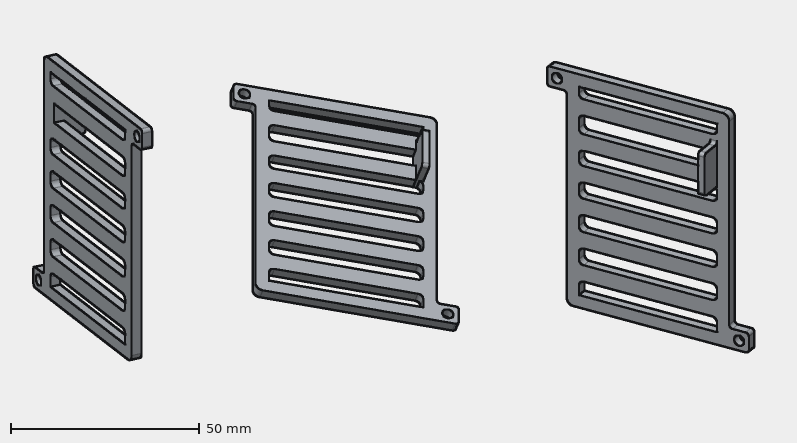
import cadquery as cq

height = 70.0
width = 62.0
thickness = 3.0
ear_size = 6.0
body_corner_radius = 2.0
ear_corner_radius = 1.0
lower_hole_diameter = 3.0
upper_hole_diameter = 3.1

rim_side = 3.8
rim_end = 3.8
bar_height = 5.0
slot_heights = [4.35, 5.0, 5.05, 4.8, 4.55, 5.5]
slot_corner_radius = 1.5

tab_thickness = 2.0
tab_reach = 6.5
tab_height = 12.8
tab_top = height - 9.9
tab_corner_radius = 1.0

body_left = ear_size
body_right = width - ear_size
slot_left = body_left + rim_side
slot_right = body_right - rim_side


def block(x_range, y_range, z_range):
    """Box spanning the given (low, high) ranges."""
    lows, highs = zip(x_range, y_range, z_range)
    sizes = [high - low for low, high in zip(lows, highs)]
    return cq.Workplane("XY").box(*sizes, centered=False).translate(lows)


def edges_at(x, z):
    """Selector for the plate's through-thickness edge at (x, z)."""
    near = 0.01
    return cq.selectors.BoxSelector((x - near, -near, z - near), (x + near, thickness + near, z + near))


def make_plate():
    depth = (0, thickness)
    plate = block((body_left, body_right), depth, (0, height))
    plate = plate.union(block((0, body_left), depth, (0, ear_size)))
    plate = plate.union(block((body_right, width), depth, (height - ear_size, height)))
    for x, z in [(body_left, height), (body_right, 0)]:
        plate = plate.edges("|Y").edges(edges_at(x, z)).fillet(body_corner_radius)
    ear_corners = [
        (0, 0),
        (0, ear_size),
        (body_left, ear_size),
        (width, height),
        (width, height - ear_size),
        (body_right, height - ear_size),
    ]
    for x, z in ear_corners:
        plate = plate.edges("|Y").edges(edges_at(x, z)).fillet(ear_corner_radius)
    return plate


def make_hole(x, z, diameter):
    return cq.Workplane("XZ", origin=(x, 0, z)).circle(diameter / 2).extrude(-thickness)


def make_slots():
    """Slots with rounded corners along the bars and square corners along the end rims."""
    bottom = rim_end
    slots = cq.Workplane("XY")
    top_slot_height = height - 2 * rim_end - sum(slot_heights) - len(slot_heights) * bar_height
    all_heights = slot_heights + [top_slot_height]
    for index, slot_height in enumerate(all_heights):
        slot = block((slot_left, slot_right), (0, thickness), (bottom, bottom + slot_height))
        if index > 0:
            slot = slot.faces("<Z").edges("|Y").fillet(slot_corner_radius)
        if index < len(all_heights) - 1:
            slot = slot.faces(">Z").edges("|Y").fillet(slot_corner_radius)
        slots = slots.add(slot)
        bottom += slot_height + bar_height
    return slots.combine()


def make_tab():
    """Tab running through the plate, with rounded outer corners and a flared upper root."""
    x_range = (slot_left, slot_left + tab_thickness)
    back = thickness + tab_reach
    tab = block(x_range, (0, back), (tab_top - tab_height, tab_top))
    tab = tab.faces(">Y").edges("|X").fillet(tab_corner_radius)
    flare = (
        cq.Workplane("YZ", origin=(slot_left, 0, 0))
        .moveTo(thickness, tab_top)
        .lineTo(thickness + tab_corner_radius, tab_top)
        .radiusArc((thickness, tab_top + tab_corner_radius), tab_corner_radius)
        .close()
        .extrude(tab_thickness)
    )
    return tab.union(flare)


result = make_plate().cut(make_slots())
result = result.cut(make_hole(ear_size / 2, ear_size / 2, lower_hole_diameter))
result = result.cut(make_hole(width - ear_size / 2, height - ear_size / 2, upper_hole_diameter))
result = result.union(make_tab())